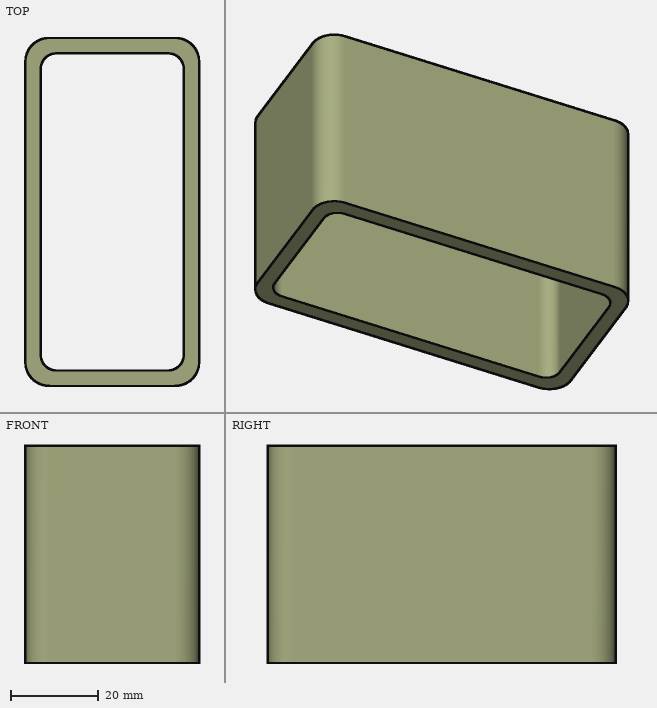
import cadquery as cq

width = 40.0
length = 80.0
height = 50.0
wall = 3.6
outer_radius = 5.5
inner_radius = 3.5


def rounded_block(size_x, size_y, corner_radius):
    """Full-height block with rounded vertical edges, centred on the origin."""
    return cq.Workplane("XY").box(size_x, size_y, height).edges("|Z").fillet(corner_radius)


outer_body = rounded_block(width, length, outer_radius)
through_opening = rounded_block(width - 2 * wall, length - 2 * wall, inner_radius)

result = outer_body.cut(through_opening)